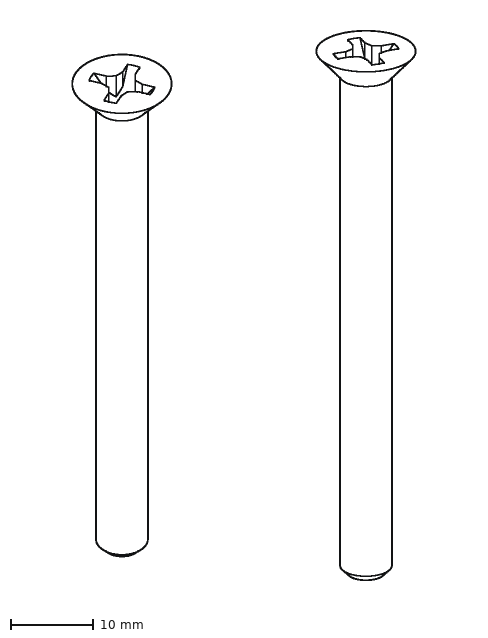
import cadquery as cq

length = 69.85
head_radius = 12.15 / 2
shank_radius = 6.35 / 2
head_height = 3.3

tip_radius = 2.25
tip_height = 1.0

wing_reach = 4.05
wing_width = 1.6
flare_length = 1.55
flare_ridge = 1.25
recess_depth = 5.6


def screw_body():
    """Countersunk head, plain shank and chamfered tip, with the head face at the top."""
    half_length = length / 2
    return (
        cq.Workplane("XZ")
        .moveTo(0, -half_length)
        .lineTo(tip_radius, -half_length)
        .lineTo(shank_radius, -half_length + tip_height)
        .lineTo(shank_radius, half_length - head_height)
        .lineTo(head_radius, half_length)
        .lineTo(0, half_length)
        .close()
        .revolve(360, (0, 0, 0), (0, 1, 0))
    )


def cross_recess():
    """Four-wing driver recess: a cross with two flats per inner corner, bounded by a cone."""
    top = length / 2
    wing_length = 2 * wing_reach
    cross = cq.Workplane("XY").rect(wing_length, wing_width).extrude(-recess_depth)
    cross = cross.union(cq.Workplane("XY").rect(wing_width, wing_length).extrude(-recess_depth))
    half_width = wing_width / 2
    flare_end = half_width + flare_length
    for quarter in range(4):
        corner = (
            cq.Workplane("XY")
            .lineTo(flare_end, 0)
            .lineTo(flare_end, half_width)
            .lineTo(flare_ridge, flare_ridge)
            .lineTo(half_width, flare_end)
            .lineTo(0, flare_end)
            .close()
            .extrude(-recess_depth)
        )
        cross = cross.union(corner.rotate((0, 0, 0), (0, 0, 1), 90 * quarter))
    envelope = (
        cq.Workplane("XZ")
        .lineTo(wing_reach, 0)
        .lineTo(0, -recess_depth)
        .close()
        .revolve(360, (0, 0, 0), (0, 1, 0))
    )
    return cross.intersect(envelope).translate((0, 0, top))


result = screw_body().cut(cross_recess())